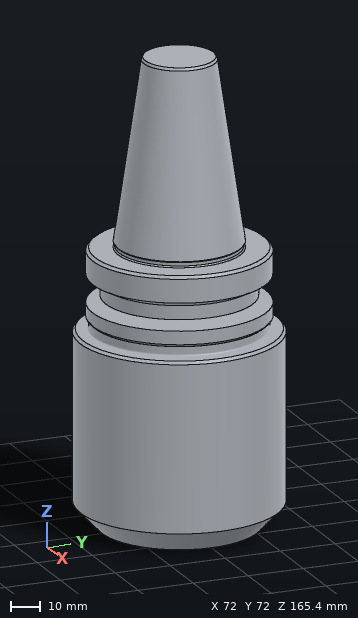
import cadquery as cq

total_height = 165.4

taper_ratio = 7 / 24
gauge_diameter = 44.5
gauge_height = 100.0
tip_chamfer = 1.0
relief_diameter = 43.5
relief_chamfer = 0.5

flange_diameter = 63.0
flange_top = 97.9
flange_chamfer = 1.0
groove_diameter = 53.5
groove_upper_edge = 88.5
groove_floor_top = 86.0
groove_floor_bottom = 81.0
groove_lower_edge = 78.5
flange_bottom = 72.8

neck_diameter = 60.9
neck_fillet = 0.8
body_diameter = 72.0
body_top = 69.1
body_chamfer = 1.0
nose_diameter = 56.2
nose_height = 8.3

taper_length = total_height - gauge_height
tip_diameter = gauge_diameter - taper_ratio * taper_length
tip_chamfer_width = tip_chamfer / 2
tip_edge_diameter = tip_diameter + taper_ratio * tip_chamfer

gauge_radius = gauge_diameter / 2
relief_radius = relief_diameter / 2
flange_radius = flange_diameter / 2
groove_radius = groove_diameter / 2
neck_radius = neck_diameter / 2
body_radius = body_diameter / 2
tip_edge_radius = tip_edge_diameter / 2

profile = (
    cq.Workplane("XZ")
    .moveTo(0, 0)
    .lineTo(nose_diameter / 2, 0)
    .lineTo(body_radius, nose_height)
    .lineTo(body_radius, body_top - body_chamfer)
    .lineTo(body_radius - body_chamfer, body_top)
    .lineTo(neck_radius + neck_fillet, body_top)
    .radiusArc((neck_radius, body_top + neck_fillet), neck_fillet)
    .lineTo(neck_radius, flange_bottom)
    .lineTo(flange_radius - flange_chamfer, flange_bottom)
    .lineTo(flange_radius, flange_bottom + flange_chamfer)
    .lineTo(flange_radius, groove_lower_edge)
    .lineTo(groove_radius, groove_floor_bottom)
    .lineTo(groove_radius, groove_floor_top)
    .lineTo(flange_radius, groove_upper_edge)
    .lineTo(flange_radius, flange_top - flange_chamfer)
    .lineTo(flange_radius - flange_chamfer, flange_top)
    .lineTo(gauge_radius, flange_top)
    .lineTo(relief_radius, flange_top + relief_chamfer)
    .lineTo(relief_radius, gauge_height - relief_chamfer)
    .lineTo(gauge_radius, gauge_height)
    .lineTo(tip_edge_radius, total_height - tip_chamfer)
    .lineTo(tip_edge_radius - tip_chamfer_width, total_height)
    .lineTo(0, total_height)
    .close()
)

result = profile.revolve(360, (0, 0, 0), (0, 1, 0))